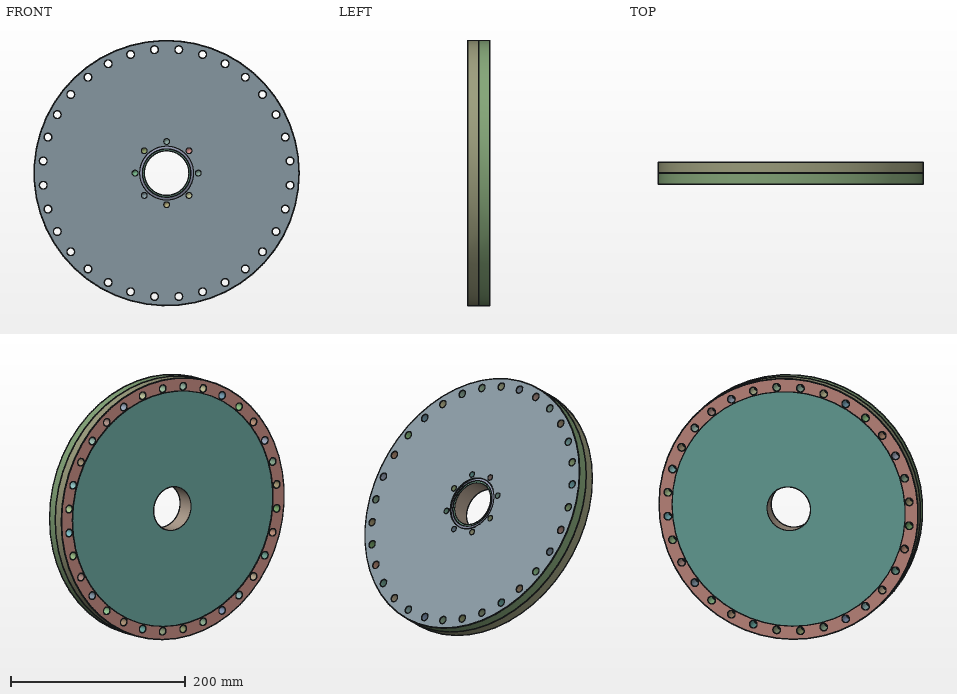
import cadquery as cq
import math

flange_dia = 304.0
thickness = 25.8
edge_chamfer = 0.5
front_y = -thickness / 2

rim_groove_width = 1.0
rim_groove_depth = 0.3

bolt_count = 32
bolt_hole_dia = 8.5
bolt_hole_chamfer = 0.3
bolt_circle_dia = 284.0

bore_dia = 50.8
land_dia = 55.0
land_depth = 1.2
knife_edge_dia = 55.5
knife_edge_depth = 0.5
recess_dia = 61.7
recess_depth = 1.8

back_recess_dia = 273.0
back_recess_depth = land_depth

tapped_count = 8
tapped_hole_dia = 6.7
tapped_circle_dia = 72.5
tapped_depth = 13.7
drill_tip_angle = 118.0


def turned(radius_y_points):
    """Solid of revolution about Y from a closed (radius, y) profile."""
    return cq.Workplane("XY").polyline(radius_y_points).close().revolve(360, (0, 0), (0, 1))


def ring_places(count, circle_dia, start_angle):
    """Evenly spaced (x, z) centres on a circle about the axis."""
    angles = [math.radians(start_angle + 360 * i / count) for i in range(count)]
    return [(circle_dia / 2 * math.cos(a), circle_dia / 2 * math.sin(a)) for a in angles]


def disc():
    radius = flange_dia / 2
    half = thickness / 2
    groove_half = rim_groove_width / 2
    return turned([
        (0, -half),
        (radius - edge_chamfer, -half),
        (radius, -half + edge_chamfer),
        (radius, -groove_half),
        (radius - rim_groove_depth, 0),
        (radius, groove_half),
        (radius, half - edge_chamfer),
        (radius - edge_chamfer, half),
        (0, half),
    ])


def bore_and_seal_recess():
    """Through bore, flat land, raised knife edge, then a slope down to the recess wall."""
    back_y = thickness / 2
    return turned([
        (0, front_y),
        (recess_dia / 2, front_y),
        (recess_dia / 2, front_y + recess_depth),
        (knife_edge_dia / 2, front_y + knife_edge_depth),
        (land_dia / 2, front_y + land_depth),
        (bore_dia / 2, front_y + land_depth),
        (bore_dia / 2, back_y),
        (0, back_y),
    ])


def back_recess():
    recess_floor_y = thickness / 2 - back_recess_depth
    floor_plane = cq.Workplane("XZ", origin=(0, recess_floor_y, 0))
    return floor_plane.circle(back_recess_dia / 2).extrude(-back_recess_depth)


def bolt_hole():
    """Through hole on the Y axis, chamfered at the front and back faces."""
    radius = bolt_hole_dia / 2
    mouth_radius = radius + bolt_hole_chamfer
    back_y = thickness / 2
    return turned([
        (0, front_y),
        (mouth_radius, front_y),
        (radius, front_y + bolt_hole_chamfer),
        (radius, back_y - bolt_hole_chamfer),
        (mouth_radius, back_y),
        (0, back_y),
    ])


def tapped_hole():
    """Blind hole on the Y axis with a conical drill tip."""
    radius = tapped_hole_dia / 2
    tip_length = radius / math.tan(math.radians(drill_tip_angle / 2))
    return turned([
        (0, front_y),
        (radius, front_y),
        (radius, front_y + tapped_depth),
        (0, front_y + tapped_depth + tip_length),
    ])


result = disc().cut(bore_and_seal_recess()).cut(back_recess())
for x, z in ring_places(bolt_count, bolt_circle_dia, 180 / bolt_count):
    result = result.cut(bolt_hole().translate((x, 0, z)))
for x, z in ring_places(tapped_count, tapped_circle_dia, 0):
    result = result.cut(tapped_hole().translate((x, 0, z)))